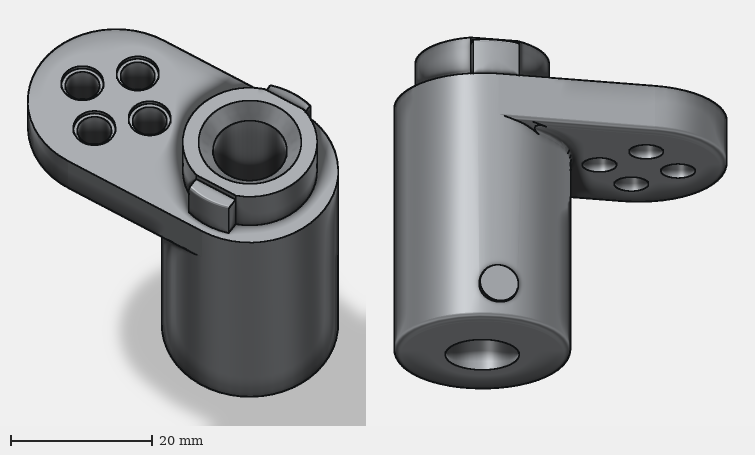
import cadquery as cq
import math

overall_length = 47.5
end_radius = 12.5
overall_height = 45.0
plate_thickness = 7.2
edge_radius = 1.0
axis_spacing = overall_length - 2 * end_radius

collar_radius = 9.5
collar_height = 6.95
bore_radius = 5.22
bore_mouth_radius = 7.25
countersink_depth = bore_mouth_radius - bore_radius

tab_width = 6.65
tab_outer_radius = 11.25
tab_height = 5.95
tab_edge_radius = 0.48
collar_flat_distance = math.sqrt(collar_radius**2 - (tab_width / 2) ** 2)

hole_count = 4
hole_circle_radius = 5.65
hole_radius = 2.4
counterbore_radius = 3.0
counterbore_depth = 0.6

pad_radius = 2.75
pad_height_above_foot = 5.4
pad_projection = 0.5

plate_top = overall_height - collar_height
plate_bottom = plate_top - plate_thickness


def cylinder(radius, bottom, height):
    return cq.Workplane("XY").workplane(offset=bottom).circle(radius).extrude(height)


def make_plate():
    """Plate from its free round end to the column axis, where the column takes over."""
    plate = (
        cq.Workplane("XY")
        .workplane(offset=plate_bottom)
        .moveTo(0, end_radius)
        .lineTo(-axis_spacing, end_radius)
        .threePointArc((-axis_spacing - end_radius, 0), (-axis_spacing, -end_radius))
        .lineTo(0, -end_radius)
        .close()
        .extrude(plate_thickness)
    )
    return plate.faces("<Z").edges("not(>X)").fillet(edge_radius)


def make_column():
    return cylinder(end_radius, 0, plate_top).faces("<Z").edges().fillet(edge_radius)


def make_cove():
    """Concave blend between the column and the plate, kept inside the plate width."""
    inner = end_radius - edge_radius
    outer = end_radius + edge_radius
    low = plate_bottom - edge_radius
    high = plate_bottom + edge_radius
    arc_offset = edge_radius * (1 - math.sqrt(0.5))
    ring = (
        cq.Workplane("XZ")
        .moveTo(inner, low)
        .lineTo(end_radius, low)
        .threePointArc((end_radius + arc_offset, plate_bottom - arc_offset), (outer, plate_bottom))
        .lineTo(end_radius, high)
        .lineTo(inner, high)
        .close()
        .revolve(360, (0, 0, 0), (0, 1, 0))
    )
    trim_top = plate_bottom + arc_offset
    half_width_high = end_radius - arc_offset
    half_width_low = half_width_high - (trim_top - low)
    trim = (
        cq.Workplane("YZ")
        .moveTo(-half_width_high, trim_top)
        .lineTo(-half_width_low, low)
        .lineTo(half_width_low, low)
        .lineTo(half_width_high, trim_top)
        .close()
        .extrude(-axis_spacing)
    )
    return ring.intersect(trim)


def make_collar():
    """Round collar with a flat behind each tab."""
    collar = cylinder(collar_radius, plate_top, collar_height)
    flat_trim = (
        cq.Workplane("XY")
        .workplane(offset=plate_top)
        .rect(2 * collar_radius, 2 * collar_flat_distance)
        .extrude(collar_height)
    )
    return collar.intersect(flat_trim)


def make_tabs():
    tab_ring = cylinder(tab_outer_radius, plate_top, tab_height)
    tab_ring = tab_ring.faces(">Z").edges().fillet(tab_edge_radius)
    strip = (
        cq.Workplane("XY")
        .workplane(offset=plate_top)
        .rect(tab_width, 2 * tab_outer_radius)
        .extrude(tab_height)
    )
    return tab_ring.intersect(strip)


def make_pad():
    return (
        cq.Workplane("XZ")
        .center(0, pad_height_above_foot)
        .circle(pad_radius)
        .extrude(-(end_radius + pad_projection))
    )


def make_bore():
    bore = cylinder(bore_radius, 0, overall_height)
    countersink = cq.Workplane(
        cq.Solid.makeCone(
            bore_radius,
            bore_mouth_radius,
            countersink_depth,
            pnt=cq.Vector(0, 0, overall_height - countersink_depth),
        )
    )
    return bore.union(countersink)


def drill_plate(body):
    return (
        body.faces(">Z")
        .workplane(origin=(-axis_spacing, 0, plate_top))
        .workplane(offset=plate_top - overall_height)
        .polarArray(hole_circle_radius, 0, 360, hole_count)
        .cboreHole(2 * hole_radius, 2 * counterbore_radius, counterbore_depth)
    )


body = make_column().union(make_plate()).union(make_cove())
body = body.union(make_collar()).union(make_tabs()).union(make_pad())
result = drill_plate(body.cut(make_bore()))